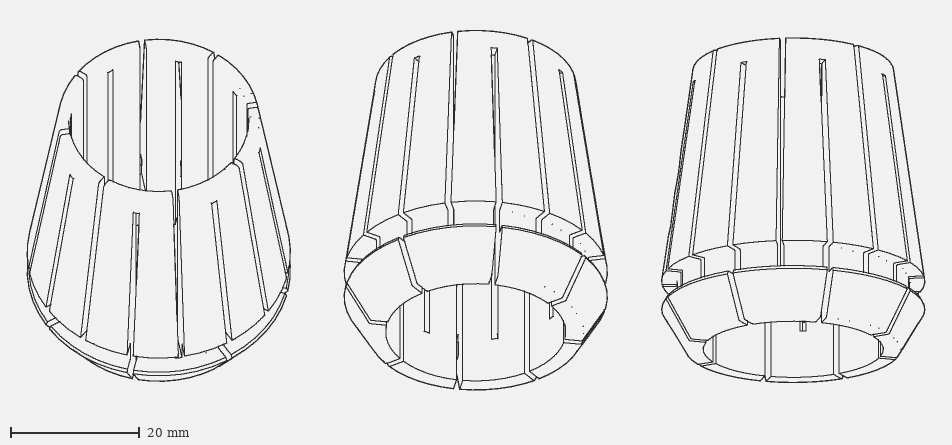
import cadquery as cq
import math

HEIGHT = 46.0
BODY_DIAMETER = 41.0
BORE_DIAMETER = 28.0
BODY_RADIUS = BODY_DIAMETER / 2
BORE_RADIUS = BORE_DIAMETER / 2

TAPER_ANGLE = 8.0
TAPER_BOTTOM = 11.15
TOP_OUTER_ROUND = 0.5
TOP_BORE_ROUND = 0.3

GROOVE_RADIUS = 18.1
GROOVE_BOTTOM = 7.1
GROOVE_CORNER_ROUND = 0.2

NOSE_ANGLE = 30.0
RIM_HEIGHT = 6.55
RIM_BEVEL_WIDTH = 0.28
NOSE_ROUND = 0.28

SLOT_WIDTH = 0.95
SLOTS_PER_SET = 8
LOWER_SLOT_TOP = 42.4
UPPER_SLOT_BOTTOM = 7.6
SLOT_PITCH = 360 / SLOTS_PER_SET

EDGE_TOLERANCE = 0.005


def run_of(rise, angle):
    """Radial change of a cone with the given half angle over a rise."""
    return rise * math.tan(math.radians(angle))


def within(radius, height):
    """Selector for edges lying near a height and reaching no farther than a radius."""
    return cq.selectors.BoxSelector(
        (-radius, -radius, height - EDGE_TOLERANCE),
        (radius, radius, height + EDGE_TOLERANCE),
        boundingbox=True,
    )


def edges_at(radius, height):
    """Selector for the full circular edge of the given radius and height."""
    return within(radius + EDGE_TOLERANCE, height) - within(radius - EDGE_TOLERANCE, height)


def collet_body():
    """Revolved ring: nose flange, groove, long taper and plain bore, with rounded edges."""
    nose_radius = BODY_RADIUS - run_of(RIM_HEIGHT, NOSE_ANGLE)
    taper_top_radius = BODY_RADIUS - run_of(HEIGHT - TAPER_BOTTOM, TAPER_ANGLE)
    profile = [
        (BORE_RADIUS, 0),
        (nose_radius, 0),
        (BODY_RADIUS, RIM_HEIGHT),
        (BODY_RADIUS - RIM_BEVEL_WIDTH, GROOVE_BOTTOM),
        (GROOVE_RADIUS, GROOVE_BOTTOM),
        (GROOVE_RADIUS, TAPER_BOTTOM),
        (BODY_RADIUS, TAPER_BOTTOM),
        (taper_top_radius, HEIGHT),
        (BORE_RADIUS, HEIGHT),
    ]
    ring = cq.Workplane("XZ").polyline(profile).close().revolve(360, (0, 0), (0, 1))
    ring = ring.edges(edges_at(taper_top_radius, HEIGHT)).fillet(TOP_OUTER_ROUND)
    ring = ring.edges(edges_at(BORE_RADIUS, HEIGHT)).fillet(TOP_BORE_ROUND)
    ring = ring.edges(edges_at(nose_radius, 0)).fillet(NOSE_ROUND)
    for corner_height in (GROOVE_BOTTOM, TAPER_BOTTOM):
        ring = ring.edges(edges_at(GROOVE_RADIUS, corner_height)).fillet(GROOVE_CORNER_ROUND)
    return ring


def cut_slots(body, bottom, top, first_angle):
    """Cut evenly spaced radial slots between two heights; each blade spans two opposite slots."""
    blade_length = 2 * BODY_DIAMETER
    blade = cq.Workplane("XY", origin=(0, 0, bottom)).box(
        blade_length, SLOT_WIDTH, top - bottom, centered=(True, True, False)
    )
    for index in range(SLOTS_PER_SET // 2):
        angle = first_angle + index * SLOT_PITCH
        body = body.cut(blade.rotate((0, 0, 0), (0, 0, 1), angle))
    return body


collet = collet_body()
collet = cut_slots(collet, 0, LOWER_SLOT_TOP, 0)
result = cut_slots(collet, UPPER_SLOT_BOTTOM, HEIGHT, SLOT_PITCH / 2)